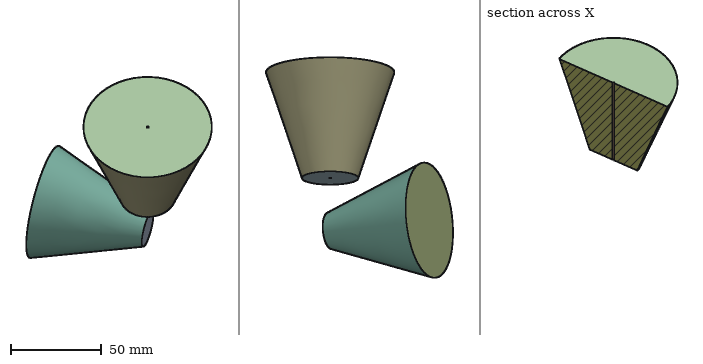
import cadquery as cq

total_height = 122.0
cone_length = 60.0

upright_wide_diameter = 71.0
upright_narrow_diameter = 31.2
center_hole_diameter = 1.04

level_wide_diameter = 64.0
level_narrow_diameter = 20.5

upright_base_z = total_height - cone_length
level_axis_z = level_wide_diameter / 2


def tapered_body(base_plane, base_diameter, end_diameter):
    """Truncated cone growing along the normal of its base plane."""
    return (
        cq.Workplane(base_plane)
        .circle(base_diameter / 2)
        .workplane(offset=cone_length)
        .circle(end_diameter / 2)
        .loft(ruled=True)
    )


def make_upright_cone():
    """Cone that widens upward, with a fine hole along its axis."""
    base_plane = cq.Plane(origin=(0, 0, upright_base_z))
    cone = tapered_body(base_plane, upright_narrow_diameter, upright_wide_diameter)
    hole = cq.Workplane(base_plane).circle(center_hole_diameter / 2).extrude(cone_length)
    return cone.cut(hole)


def make_level_cone():
    """Plain cone lying along X, narrowing toward +X."""
    base_plane = cq.Plane(
        origin=(-cone_length, 0, level_axis_z), xDir=(0, 1, 0), normal=(1, 0, 0)
    )
    return tapered_body(base_plane, level_wide_diameter, level_narrow_diameter)


upright_cone = make_upright_cone()
level_cone = make_level_cone()

result = cq.Compound.makeCompound([upright_cone.val(), level_cone.val()])